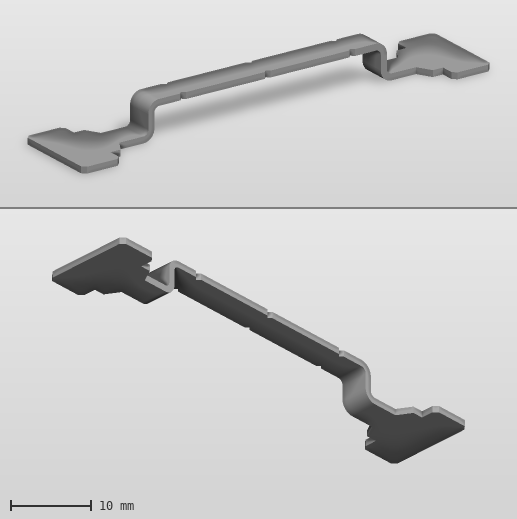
import cadquery as cq
import math

length = 61.5
height = 5.4
thickness = 0.9
inner_radius = 0.75
outer_radius = inner_radius + thickness
web_outer_y = 17.95

strip_width = 4.0
neck_width = 8.0
head_width = 12.7
head_length = 5.7
head_chamfer = 0.55
neck_length = 1.55
taper_angle = 30.0

notch_depth = 0.4
notch_spacing = 12.7

half_length = length / 2


def side_block(y_start, y_end, z_start, z_end):
    """Strap-wide block spanning the given Y and Z ranges."""
    size_y = y_end - y_start
    size_z = z_end - z_start
    return cq.Workplane("XY").box(strip_width, size_y, size_z).translate(
        (0, (y_start + y_end) / 2, (z_start + z_end) / 2)
    )


def bridge():
    """Raised strip with its uprights and the bends down to the feet."""
    web_inner_y = web_outer_y - thickness
    flange_y = web_outer_y + inner_radius
    outer = side_block(-web_outer_y, web_outer_y, 0, height)
    outer = outer.edges("|X and >Z").fillet(outer_radius)
    opening = side_block(-web_inner_y, web_inner_y, -thickness, height - thickness)
    opening = opening.edges("|X and >Z").fillet(inner_radius)
    arch = outer.cut(opening)
    for side in (-1, 1):
        corner = side_block(web_inner_y, flange_y, 0, outer_radius)
        ring = (
            cq.Workplane("YZ", origin=(-strip_width / 2, flange_y, outer_radius))
            .circle(outer_radius)
            .circle(inner_radius)
            .extrude(strip_width)
        )
        bend = corner.intersect(ring)
        if side < 0:
            bend = bend.mirror("XZ")
            corner = corner.mirror("XZ")
        arch = arch.cut(corner).union(bend)
    return arch


def foot():
    """Flat T-shaped foot at the +Y end."""
    head_y = half_length - head_length
    shoulder_y = head_y - neck_length
    taper_length = (neck_width - strip_width) / 2 * math.tan(math.radians(taper_angle))
    flat_start_y = web_outer_y + inner_radius
    head = (
        cq.Workplane("XY")
        .rect(head_width, head_length)
        .extrude(thickness)
        .edges("|Z")
        .chamfer(head_chamfer)
        .translate((0, half_length - head_length / 2, 0))
    )
    right_edge = [
        (strip_width / 2, flat_start_y),
        (strip_width / 2, shoulder_y - taper_length),
        (neck_width / 2, shoulder_y),
        (neck_width / 2, head_y),
    ]
    left_edge = [(-x, y) for x, y in reversed(right_edge)]
    neck = cq.Workplane("XY").polyline(right_edge + left_edge).close().extrude(thickness)
    return head.union(neck)


def notches():
    """V cutters on both edges of the raised strip."""
    cutters = cq.Workplane("XY")
    edge_x = strip_width / 2
    for y in (-notch_spacing, 0, notch_spacing):
        for side in (-1, 1):
            outline = [
                (side * edge_x, y - notch_depth),
                (side * (edge_x - notch_depth), y),
                (side * edge_x, y + notch_depth),
            ]
            cutters = cutters.add(cq.Workplane("XY").polyline(outline).close().extrude(height))
    return cutters


strap = bridge().union(foot()).union(foot().mirror("XZ"))
for cutter in notches().vals():
    strap = strap.cut(cq.Workplane(cutter))
result = strap